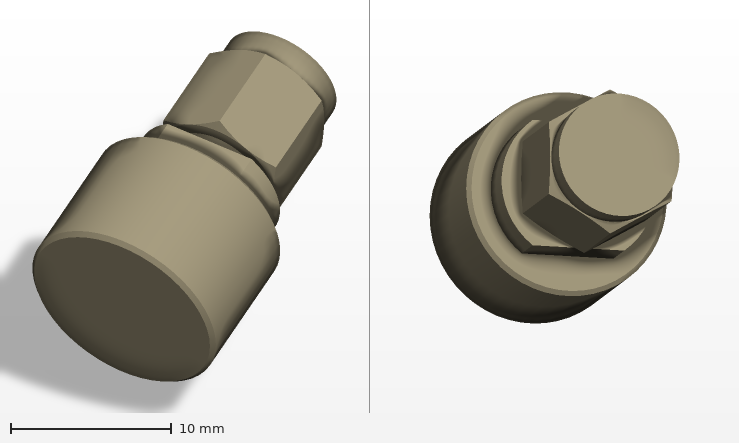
import cadquery as cq
import math

body_end = 9.03
flange_end = 11.55
neck_end = 12.52
nut_end = 19.25
tip_end = 21.0

body_diameter = 12.95
body_chamfer = 0.27
flange_diameter = 9.93
wrench_flats = 7.98
neck_diameter = 6.47
nut_flats = 7.94
nut_chamfer_angle = 30.0
tip_diameter = 7.8

nut_corner_diameter = nut_flats / math.cos(math.radians(30))


def axial_plane(start):
    """Plane at a station on the axis, with its normal along +Y and local X along +X."""
    return cq.Workplane(cq.Plane(origin=(0, start, 0), xDir=(1, 0, 0), normal=(0, 1, 0)))


def cylinder(diameter, start, end):
    return axial_plane(start).circle(diameter / 2).extrude(end - start)


def make_flange():
    """Round flange with two wrench flats facing +Z and -Z."""
    length = flange_end - body_end
    slab = axial_plane(body_end).rect(flange_diameter, wrench_flats).extrude(length)
    return cylinder(flange_diameter, body_end, flange_end).intersect(slab)


def make_nut():
    """Hex nut with corners on Z, its corners turned down to a cone at both ends."""
    prism = (
        axial_plane(neck_end)
        .transformed(rotate=(0, 0, 90))
        .polygon(6, nut_corner_diameter)
        .extrude(nut_end - neck_end)
    )
    face_radius = nut_flats / 2
    corner_radius = nut_corner_diameter / 2
    chamfer_length = (corner_radius - face_radius) * math.tan(math.radians(nut_chamfer_angle))
    turned_blank = (
        cylinder(nut_corner_diameter, neck_end, nut_end)
        .faces("<Y or >Y")
        .edges()
        .chamfer(chamfer_length, corner_radius - face_radius)
    )
    return prism.intersect(turned_blank)


body = cylinder(body_diameter, 0, body_end).faces("<Y or >Y").edges().chamfer(body_chamfer)
neck = cylinder(neck_diameter, flange_end, neck_end)
tip = cylinder(tip_diameter, nut_end, tip_end)

result = body.union(make_flange()).union(neck).union(make_nut()).union(tip)